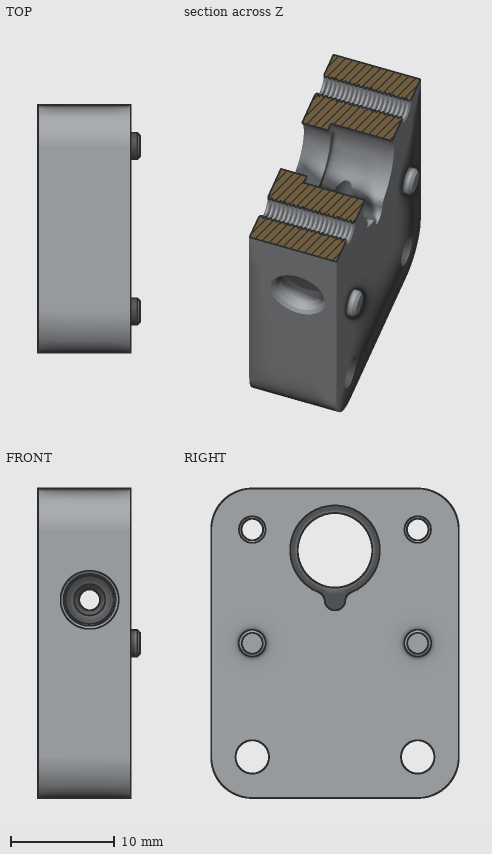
import cadquery as cq

thickness = 9.0
width = 24.0
height = 30.0
corner_radius = 4.0

clearance_hole_diameter = 3.2
thread_minor_diameter = 2.07
thread_major_diameter = 2.58
thread_pitch = 0.45
thread_crest_width = 0.15

pin_diameter = 2.6
pin_length = 0.9
pin_chamfer = 0.3

bore_diameter = 7.2
bore_lip_depth = 2.7
chamber_diameter = 8.7
bore_z = height - 6.0

port_x = 5.0
port_z = height - 10.8
port_mouth_diameter = 5.65
port_socket_diameter = 5.05
port_neck_diameter = 4.68
port_undercut_diameter = 5.52
port_seat_diameter = 3.03
passage_diameter = 2.0
port_neck_depth = 1.38
port_undercut_depth = 2.97
port_seat_depth = 3.35
port_throat_depth = 4.15

relief_width = passage_diameter
relief_fillet = 0.9

side_columns = (corner_radius, width - corner_radius)
centre_y = width / 2
overlap = 0.3


def rod_along_x(diameter, y, z, start, end):
    """Cylinder parallel to X between two X positions."""
    circle = cq.Workplane("YZ", origin=(start, 0, 0)).center(y, z).circle(diameter / 2)
    return circle.extrude(end - start)


def make_block():
    outline = cq.Workplane("YZ").rect(width, height, centered=False).extrude(thickness)
    return outline.edges("|X").fillet(corner_radius)


def make_pin(y):
    """Chamfered pin rooted slightly inside the +X face."""
    tip = thickness + pin_length
    pin = rod_along_x(pin_diameter, y, height / 2, thickness - overlap, tip)
    return pin.faces(">X").chamfer(pin_chamfer)


def make_thread(y, z):
    """Threaded through hole: a revolved zigzag of ring grooves, one per pitch."""
    core_radius = thread_minor_diameter / 2
    root_radius = thread_major_diameter / 2
    half_crest = thread_crest_width / 2
    profile = [(0, 0), (0, root_radius)]
    for turn in range(round(thickness / thread_pitch)):
        crest_x = (turn + 0.5) * thread_pitch
        profile.append((crest_x - half_crest, core_radius))
        profile.append((crest_x + half_crest, core_radius))
        profile.append(((turn + 1) * thread_pitch, root_radius))
    profile.append((thickness, 0))
    tool = cq.Workplane("XY").polyline(profile).close().revolve(360, (0, 0, 0), (1, 0, 0))
    return tool.translate((0, y, z))


def make_chamber():
    """Wide cylinder with a filleted relief reaching down to the cross passage."""
    depth = thickness - bore_lip_depth + overlap
    start = bore_lip_depth
    chamber = rod_along_x(chamber_diameter, centre_y, bore_z, start, start + depth)
    relief_height = bore_z - port_z
    relief = (
        cq.Workplane("YZ", origin=(start, centre_y, port_z + relief_height / 2))
        .rect(relief_width, relief_height)
        .extrude(depth)
    )
    relief_end = rod_along_x(relief_width, centre_y, port_z, start, start + depth)
    chamber = chamber.union(relief).union(relief_end)
    mouth = cq.selectors.BoxSelector(
        (start - overlap, centre_y - relief_width, bore_z - chamber_diameter / 2),
        (start + depth + overlap, centre_y + relief_width, port_z + relief_width / 2),
    )
    return chamber.edges("|X").edges(mouth).fillet(relief_fillet)


def make_port():
    """Stepped port profile revolved about the Y direction, with its passage."""
    mouth_radius = port_mouth_diameter / 2
    socket_radius = port_socket_diameter / 2
    neck_radius = port_neck_diameter / 2
    undercut_radius = port_undercut_diameter / 2
    seat_radius = port_seat_diameter / 2
    passage_radius = passage_diameter / 2
    mouth_depth = mouth_radius - socket_radius
    profile = [
        (0, 0),
        (mouth_radius, 0),
        (socket_radius, mouth_depth),
        (neck_radius, port_neck_depth),
        (undercut_radius, port_undercut_depth),
        (seat_radius, port_seat_depth),
        (passage_radius, port_throat_depth),
        (passage_radius, width),
        (0, width),
    ]
    tool = cq.Workplane("XY").polyline(profile).close().revolve(360, (0, 0, 0), (0, 1, 0))
    return tool.translate((port_x, 0, port_z))


result = make_block()
for column_y in side_columns:
    result = result.union(make_pin(column_y))
    result = result.cut(rod_along_x(clearance_hole_diameter, column_y, corner_radius, 0, thickness))

result = result.cut(rod_along_x(bore_diameter, centre_y, bore_z, 0, thickness))
result = result.cut(make_chamber())
result = result.cut(make_port())

thread_z = height - corner_radius
for column_y in side_columns:
    result = result.cut(make_thread(column_y, thread_z))